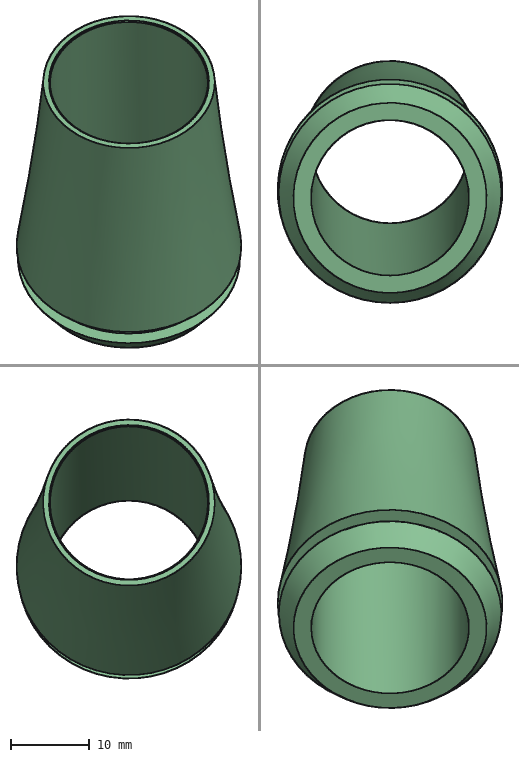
import cadquery as cq

total_height = 38.0
flange_height = 3.2
groove_width = 2.4
body_base = flange_height + groove_width

body_base_radius = 14.25
body_top_radius = 10.85
groove_radius = 12.55
flange_top_radius = 14.1
flange_bottom_radius = 12.25

side_bow = 0.23
side_middle = (
    (body_base_radius + body_top_radius) / 2 - side_bow,
    (body_base + total_height) / 2,
)

bore_radius = 10.0
mouth_chamfer = 0.15

section = (
    cq.Workplane("XZ")
    .moveTo(bore_radius, 0)
    .lineTo(flange_bottom_radius, 0)
    .lineTo(flange_top_radius, flange_height)
    .lineTo(groove_radius, flange_height)
    .lineTo(groove_radius, body_base)
    .lineTo(body_base_radius, body_base)
    .threePointArc(side_middle, (body_top_radius, total_height))
    .lineTo(bore_radius + mouth_chamfer, total_height)
    .lineTo(bore_radius, total_height - mouth_chamfer)
    .close()
)
result = section.revolve(360, (0, 0, 0), (0, 1, 0))